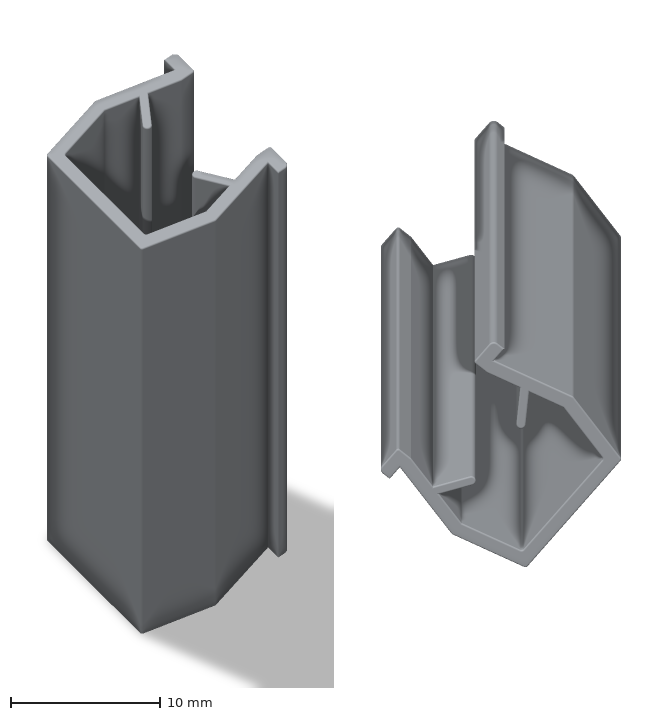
import cadquery as cq
import math

length = 45.0
width = 12.7
depth = 12.05
wall = 1.0

base_width = 10.05
knee_height = 5.35
lip_thickness = 1.0
lip_span = 12.0
mouth_width = 7.9

barb_thickness = 0.65
barb_slope = 34.0
barb_tip_x = 2.6
barb_tip_height = 6.8
barb_reach = 2.7

corner_radius = 0.2
knee_radius = 0.3
lip_radius = 0.4
mouth_radius = 0.2
end_radius = 0.112

slope = (width - base_width) / 2 / knee_height
lean_factor = math.hypot(1, slope)
knee_x = width / 2 + knee_radius * (lean_factor - 1)
side_wall = wall * lean_factor

base_x = base_width / 2
inner_base_x = base_x + slope * wall - side_wall
inner_knee_x = knee_x - side_wall
lip_x = lip_span / 2
lip_underside = depth - lip_thickness
neck_x = knee_x - slope * (lip_underside - knee_height)
mouth_x = mouth_width / 2
mouth_corner_y = knee_height + (inner_knee_x - mouth_x) / slope


def round_edge(body, x, y, radius):
    """Round the upright edge nearest to the profile point (x, y)."""
    edge = cq.selectors.NearestToPointSelector((x, y, length / 2))
    return body.edges("|Z").edges(edge).fillet(radius)


def make_channel():
    right = [
        (base_x, 0),
        (knee_x, knee_height),
        (neck_x, lip_underside),
        (lip_x, lip_underside),
        (lip_x, depth),
        (mouth_x, depth),
        (mouth_x, mouth_corner_y),
        (inner_knee_x, knee_height),
        (inner_base_x, wall),
    ]
    left = [(-x, y) for x, y in reversed(right)]
    body = cq.Workplane("XY").polyline(right + left).close().extrude(length)
    for side in (1, -1):
        body = round_edge(body, side * base_x, 0, corner_radius)
        body = round_edge(body, side * inner_base_x, wall, corner_radius)
        body = round_edge(body, side * knee_x, knee_height, knee_radius)
        body = round_edge(body, side * lip_x, depth, lip_radius)
        body = round_edge(body, side * mouth_x, depth, mouth_radius)
    return body


def make_barb():
    """Right-hand barb, sloping down from the side wall to a rounded tip."""
    barb = (
        cq.Workplane("XY")
        .center(barb_reach / 2, 0)
        .rect(barb_reach, barb_thickness)
        .extrude(length)
    )
    tip = cq.Workplane("XY").circle(barb_thickness / 2).extrude(length)
    barb = barb.union(tip).rotate((0, 0, 0), (0, 0, 1), barb_slope)
    return barb.translate((barb_tip_x, barb_tip_height, 0))


right_barb = make_barb()
profile = make_channel().union(right_barb).union(right_barb.mirror("YZ"))
result = profile.faces("<Z or >Z").fillet(end_radius)